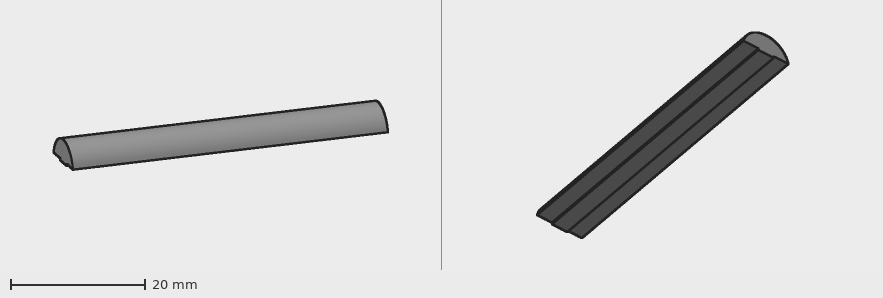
import cadquery as cq

length = 50.0
width = 8.5
height = 3.7

strip_width = 2.9
strip_height = 0.3

dome_height = height - strip_height


def make_dome():
    """Bar with a flat base and a circular-arc top, centred along Y."""
    return (
        cq.Workplane("XZ")
        .moveTo(-width / 2, 0)
        .threePointArc((0, dome_height), (width / 2, 0))
        .close()
        .extrude(length / 2, both=True)
    )


def make_strip():
    """Full-length rectangular strip hanging below the base."""
    return cq.Workplane("XY").rect(strip_width, length).extrude(-strip_height)


result = make_dome().union(make_strip())